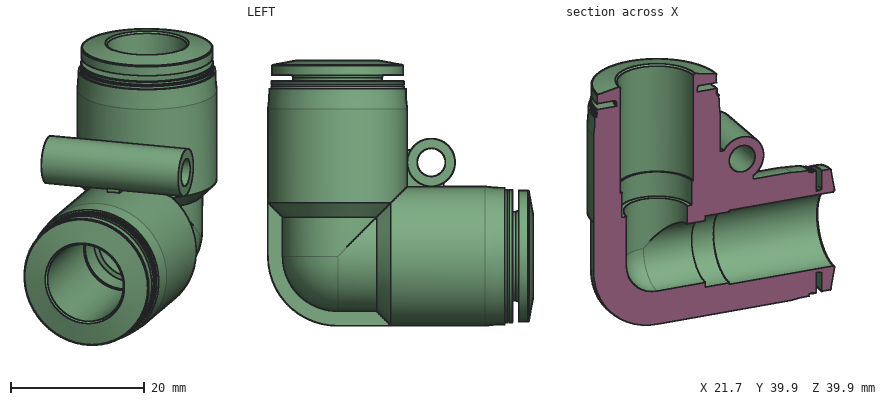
import cadquery as cq
import math

overall = 39.9
body_radius = 21.0 / 2
arm_length = overall - body_radius

neck_radius = 8.35
shoulder_start = 8.0
shoulder_cone = body_radius - neck_radius
rib_thickness = 1.95

taper_start = 22.15
taper_end = 25.15
taper_end_radius = 10.3
sleeve_radius = 20.0 / 2
sleeve_end = 26.35
groove_start = 25.55
groove_width = 0.28
groove_depth = 0.1
sleeve_chamfer = 0.1

collar_neck_radius = 13.4 / 2
collar_neck_end = 26.77
collar_root_radius = 6.85
flange_radius = 19.8 / 2
flange_start = 27.2
flange_rim_end = 28.6
flange_edge = 0.15

bore_radius = 12.0 / 2
mouth_chamfer = 0.28
channel_radius = 10.0 / 2
bore_bottom = shoulder_start
seat_radius = 11.55 / 2
seat_top = 11.97

tube_length = 21.7
tube_radius = 7.2 / 2
tube_hole_radius = 4.2 / 2
tube_offset = body_radius + tube_radius
web_end = 15.95


def revolved_about_z(points):
    """Solid of revolution about Z from (radius, height) points."""
    return cq.Workplane("XZ").polyline(points).close().revolve(360, (0, 0, 0), (0, 1, 0))


def both_arms(arm):
    """The upright arm joined to a copy turned to point along -Y."""
    return arm.union(arm.rotate((0, 0, 0), (1, 0, 0), 90))


def arm_outside():
    groove_radius = sleeve_radius - groove_depth
    groove_end = groove_start + groove_width
    mouth_radius = bore_radius + mouth_chamfer
    return revolved_about_z([
        (0, 0),
        (neck_radius, 0),
        (neck_radius, shoulder_start - shoulder_cone),
        (body_radius, shoulder_start),
        (body_radius, taper_start),
        (taper_end_radius, taper_end),
        (sleeve_radius, taper_end),
        (sleeve_radius, groove_start),
        (groove_radius, groove_start),
        (groove_radius, groove_end),
        (sleeve_radius, groove_end),
        (sleeve_radius, sleeve_end - sleeve_chamfer),
        (sleeve_radius - sleeve_chamfer, sleeve_end),
        (collar_neck_radius, sleeve_end),
        (collar_neck_radius, collar_neck_end),
        (collar_root_radius, flange_start),
        (flange_radius, flange_start),
        (flange_radius, flange_rim_end),
        (flange_radius - flange_edge, flange_rim_end + flange_edge),
        (mouth_radius, arm_length),
        (0, arm_length),
    ])


def arm_passage():
    return revolved_about_z([
        (0, 0),
        (channel_radius, 0),
        (channel_radius, bore_bottom),
        (seat_radius, bore_bottom),
        (seat_radius, seat_top),
        (bore_radius, seat_top),
        (bore_radius, arm_length - mouth_chamfer),
        (bore_radius + mouth_chamfer, arm_length),
        (0, arm_length),
    ])


def elbow_rib():
    """Flat rib around the outer bend, flush with both arms."""
    arc_middle = body_radius * math.sqrt(0.5)
    return (
        cq.Workplane("YZ")
        .moveTo(0, shoulder_start)
        .lineTo(body_radius, shoulder_start)
        .lineTo(body_radius, 0)
        .threePointArc((arc_middle, -arc_middle), (0, -body_radius))
        .lineTo(-shoulder_start, -body_radius)
        .lineTo(-shoulder_start, 0)
        .lineTo(0, 0)
        .close()
        .extrude(rib_thickness / 2, both=True)
    )


def tube_web():
    """Thin plate that ties the mounting tube to both arms."""
    return (
        cq.Workplane("YZ")
        .polyline([
            (-shoulder_start, shoulder_start),
            (-shoulder_start, web_end),
            (-tube_offset, web_end),
            (-tube_offset, tube_offset),
            (-web_end, tube_offset),
            (-web_end, shoulder_start),
        ])
        .close()
        .extrude(rib_thickness / 2, both=True)
    )


def tube_cylinder(radius):
    return (
        cq.Workplane("YZ")
        .center(-tube_offset, tube_offset)
        .circle(radius)
        .extrude(tube_length / 2, both=True)
    )


outside = both_arms(arm_outside()).union(cq.Workplane("XY").sphere(neck_radius))
outside = outside.union(elbow_rib()).union(tube_web()).union(tube_cylinder(tube_radius))

passage = both_arms(arm_passage()).union(cq.Workplane("XY").sphere(channel_radius))

result = outside.cut(passage).cut(tube_cylinder(tube_hole_radius))